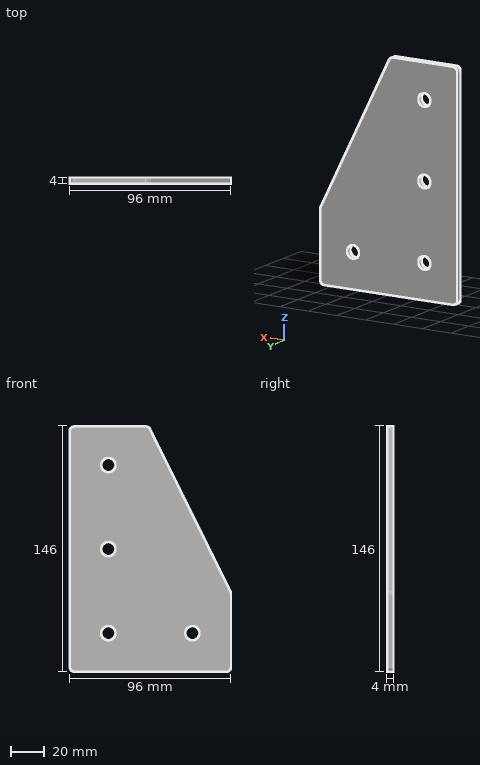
import cadquery as cq

height = 146.0
width = 96.0
thickness = 4.0
top_width = 47.0
right_height = 47.0
corner_radius = 3.0

hole_diameter = 8.3
hole_inset = 23.0
hole_pitch = (height - 2 * hole_inset) / 2


def make_plate():
    """Upright plate with a sloped upper right side and rounded corners."""
    outline = [
        (0, 0),
        (width, 0),
        (width, right_height),
        (top_width, height),
        (0, height),
    ]
    plate = cq.Workplane("XZ").polyline(outline).close().extrude(-thickness)
    return plate.edges("|Y").fillet(corner_radius)


def hole_centers():
    """Three holes up the left side and one more along the bottom."""
    left_column = [(hole_inset, hole_inset + row * hole_pitch) for row in range(3)]
    return left_column + [(hole_inset + hole_pitch, hole_inset)]


def make_holes():
    """Cylinders that pass through the full thickness of the plate."""
    return (
        cq.Workplane("XZ")
        .pushPoints(hole_centers())
        .circle(hole_diameter / 2)
        .extrude(-thickness)
    )


result = make_plate().cut(make_holes())